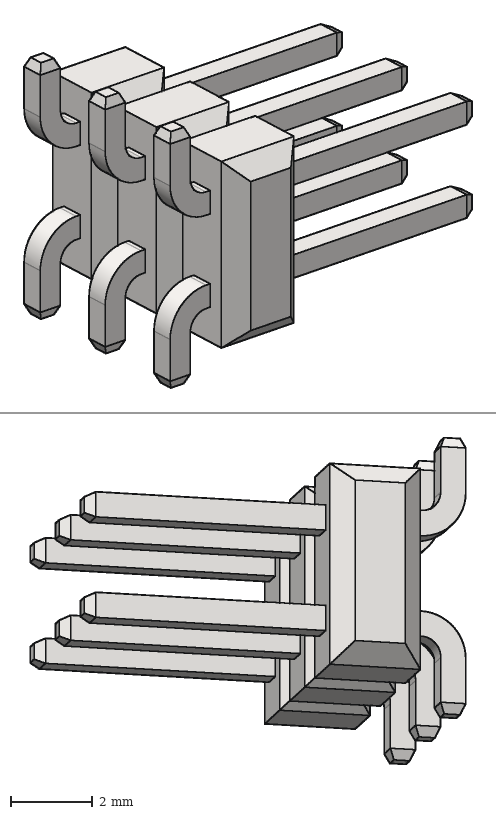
import cadquery as cq
import math

columns = 3
body_length = 7.62
pitch = body_length / columns
body_depth = 2.3
body_height = 2 * pitch
body_chamfer = 0.51

pin_width = 0.64
total_depth = 9.65
foot_span = 6.99
foot_overhang = 1.26
bend_inner_radius = 0.5
tip_length = 0.26
tip_inset = 0.12

tip_taper = math.degrees(math.atan2(tip_inset, tip_length))
bend_outer_radius = bend_inner_radius + pin_width
foot_front_y = -body_depth / 2 - foot_overhang
pin_end_y = foot_front_y + total_depth
foot_end_z = foot_span / 2
shank_end_y = pin_end_y - tip_length
shank_end_z = foot_end_z - tip_length
row_z = pitch / 2
pin_bottom_z = row_z - pin_width / 2
pin_top_z = row_z + pin_width / 2
foot_back_y = foot_front_y + pin_width
bend_center_y = foot_front_y + bend_outer_radius
bend_center_z = pin_bottom_z + bend_outer_radius


def make_block():
    """One body block, bevelled around its two X faces."""
    block = cq.Workplane("XY").box(pitch, body_depth, body_height)
    return block.faces("<X or >X").edges().chamfer(body_chamfer)


def bend_midpoint(radius):
    """Point halfway around the 90 degree bend, as (Y, Z)."""
    offset = radius * math.sqrt(0.5)
    return (bend_center_y - offset, bend_center_z - offset)


def make_pin():
    """One upper-row pin, bent up to +Z in front of the body, with both ends tapered."""
    outer_mid = bend_midpoint(bend_outer_radius)
    inner_mid = bend_midpoint(bend_inner_radius)
    shank = (
        cq.Workplane("YZ")
        .moveTo(shank_end_y, pin_bottom_z)
        .lineTo(bend_center_y, pin_bottom_z)
        .threePointArc(outer_mid, (foot_front_y, bend_center_z))
        .lineTo(foot_front_y, shank_end_z)
        .lineTo(foot_back_y, shank_end_z)
        .lineTo(foot_back_y, bend_center_z)
        .threePointArc(inner_mid, (bend_center_y, pin_top_z))
        .lineTo(shank_end_y, pin_top_z)
        .close()
        .extrude(pin_width / 2, both=True)
    )
    return add_tip(add_tip(shank, ">Y"), ">Z")


def add_tip(pin, end):
    """Extend the square end face of a pin with a tapered tip."""
    return (
        pin.faces(end)
        .workplane(centerOption="CenterOfMass")
        .rect(pin_width, pin_width)
        .extrude(tip_length, taper=tip_taper)
    )


def make_header():
    """Repeat the block and its mirrored pair of pins along X."""
    upper_pin = make_pin()
    lower_pin = upper_pin.mirror("XY")
    column = make_block().union(upper_pin).union(lower_pin)
    first_column_x = -(columns - 1) / 2 * pitch
    header = column.translate((first_column_x, 0, 0))
    for index in range(1, columns):
        header = header.union(column.translate((first_column_x + index * pitch, 0, 0)))
    return header


result = make_header()